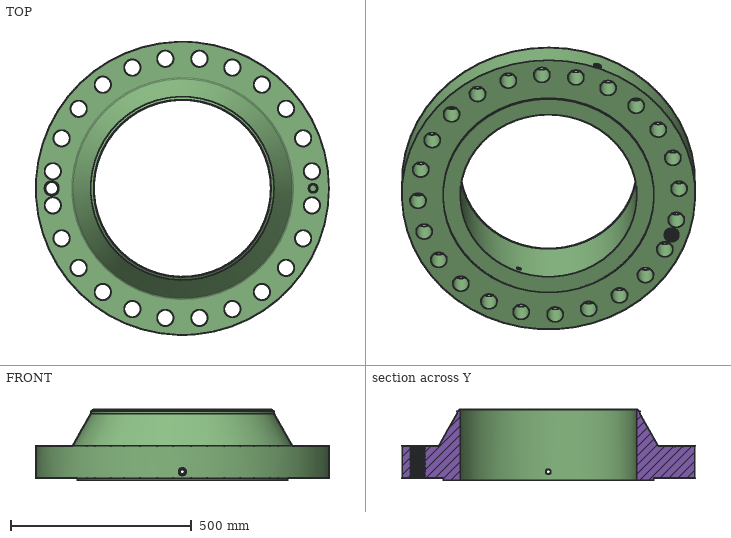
import cadquery as cq
import math

flange_dia = 812.8
flange_thickness = 88.9
raised_face_dia = 584.2
raised_face_height = 6.35
total_height = 196.85
flange_top = raised_face_height + flange_thickness

bore_dia = 488.95
neck_dia = 508.0
hub_base_dia = 609.6
hub_fillet_radius = 4.0
weld_land = 1.6
weld_bevel_angle = 37.5
neck_straight_length = 6.0

bolt_count = 24
bolt_circle_dia = 723.9
bolt_hole_dia = 44.5

jack_thread_dia = 40.0
jack_thread_pitch = 25.4 / 8

ring_outer_dia = 25.4
ring_width = 2.5
ring_depth = 1.0

tap_height = 24.0
tap_bore_dia = 12.7
tap_thread_dia = 21.3
tap_thread_pitch = 25.4 / 14
tap_thread_length = 20.0
pipe_thread_taper = 1 / 16

sharp_thread_depth = math.cos(math.radians(30))


def flange_body():
    """Revolve the flange, hub and neck around the Z axis, then round the hub root."""
    bore_radius = bore_dia / 2
    neck_radius = neck_dia / 2
    land_radius = bore_radius + weld_land
    bevel_height = (neck_radius - land_radius) * math.tan(math.radians(weld_bevel_angle))
    bevel_bottom = total_height - bevel_height
    profile = [
        (bore_radius, 0),
        (raised_face_dia / 2, 0),
        (raised_face_dia / 2, raised_face_height),
        (flange_dia / 2, raised_face_height),
        (flange_dia / 2, flange_top),
        (hub_base_dia / 2, flange_top),
        (neck_radius, bevel_bottom - neck_straight_length),
        (neck_radius, bevel_bottom),
        (land_radius, total_height),
        (bore_radius, total_height),
    ]
    body = cq.Workplane("XZ").polyline(profile).close().revolve(360, (0, 0), (0, 1))
    root_margin = 1.0
    around_root = cq.selectors.BoxSelector(
        (-hub_base_dia, -hub_base_dia, flange_top - root_margin),
        (hub_base_dia, hub_base_dia, flange_top + root_margin),
    )
    flange_top_edges = body.edges(around_root).edges("%CIRCLE")
    return flange_top_edges.edges(cq.selectors.RadiusNthSelector(0)).fillet(hub_fillet_radius)


def bolt_holes():
    """Through holes on the bolt circle, straddling the X and Y axes."""
    half_step = 180 / bolt_count
    return (
        cq.Workplane("XY")
        .polarArray(bolt_circle_dia / 2, half_step, 360, bolt_count)
        .circle(bolt_hole_dia / 2)
        .extrude(flange_top)
    )


def threaded_hole(major_dia, pitch, length, taper=0.0):
    """Tapped hole cutter running down from Z = 0, its thread made of V-shaped rings."""
    ring_count = round(length / pitch)
    ring_length = length / ring_count
    thread_depth = sharp_thread_depth * pitch

    def major_radius(depth):
        return (major_dia - taper * depth) / 2

    points = [(0, 0), (major_radius(0), 0)]
    for ring in range(ring_count):
        crest_depth = (ring + 0.5) * ring_length
        root_depth = (ring + 1) * ring_length
        points.append((major_radius(crest_depth) - thread_depth, -crest_depth))
        points.append((major_radius(root_depth), -root_depth))
    points.append((0, -length))
    return cq.Workplane("XZ").polyline(points).close().revolve(360, (0, 0), (0, 1))


def jack_screw_hole():
    """Threaded hole through the full flange thickness."""
    cutter = threaded_hole(jack_thread_dia, jack_thread_pitch, flange_thickness)
    return cutter.translate((-bolt_circle_dia / 2, 0, flange_top))


def ring_groove():
    """Shallow round groove in the flange back face."""
    return (
        cq.Workplane("XY", origin=(bolt_circle_dia / 2, 0, flange_top))
        .circle(ring_outer_dia / 2)
        .circle(ring_outer_dia / 2 - ring_width)
        .extrude(-ring_depth)
    )


def pressure_taps():
    """Radial bore right across the flange, threaded at both outer ends."""
    taps = cq.Workplane("XZ").circle(tap_bore_dia / 2).extrude(flange_dia / 2, both=True)
    thread = threaded_hole(tap_thread_dia, tap_thread_pitch, tap_thread_length, pipe_thread_taper)
    for side in (-1, 1):
        facing_outward = thread.rotate((0, 0, 0), (1, 0, 0), -side * 90)
        taps = taps.union(facing_outward.translate((0, side * flange_dia / 2, 0)))
    return taps.translate((0, 0, tap_height))


result = flange_body()
for cutter in (bolt_holes(), jack_screw_hole(), ring_groove(), pressure_taps()):
    result = result.cut(cutter)